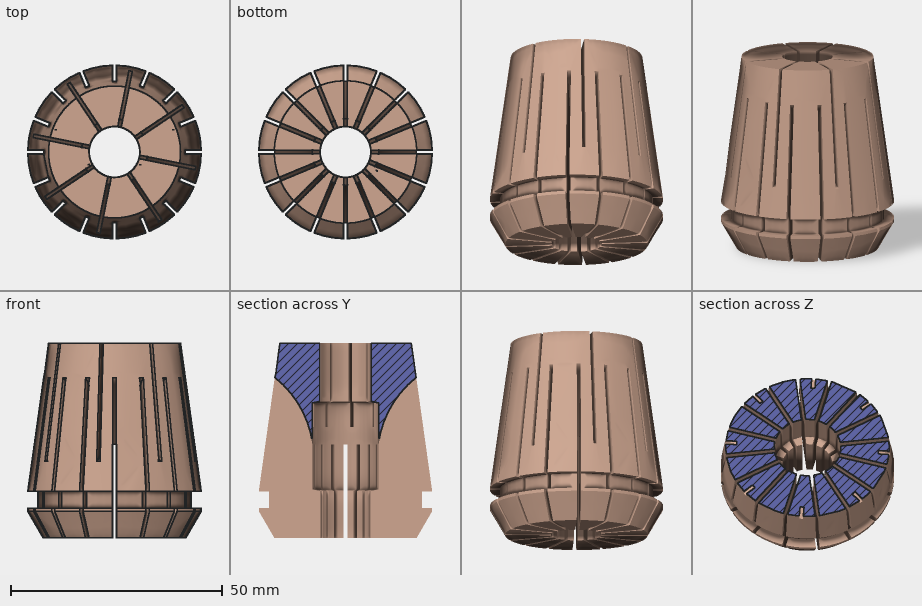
import cadquery as cq
import math

LENGTH = 46.0
MAX_DIAMETER = 41.0
MAX_RADIUS = MAX_DIAMETER / 2
TAIL_RADIUS = 15.6
NOSE_RADIUS = 16.85
GROOVE_RADIUS = 18.12
RIM_BOTTOM = 6.3
GROOVE_BOTTOM = 7.05
GROOVE_TOP = 11.0

BORE_RADIUS = 6.0
RELIEF_RADIUS = 7.8
RELIEF_BOTTOM = 11.05
RELIEF_TOP = 32.2
RELIEF_END_ANGLE = 12.0

NOSE_SLOT_COUNT = 16
NOSE_SLOT_WIDTH = 0.9
NOSE_SLOT_OUTER_END = 37.85
NOSE_SLOT_INNER_END = 22.1
NOSE_SAW_RADIUS = 23.9

TAIL_SLOT_COUNT = 8
TAIL_SLOT_WIDTH = 0.85
TAIL_SLOT_OUTER_END = 18.1
TAIL_SLOT_INNER_END = 26.2
TAIL_SAW_RADIUS = 18.4

OVERCUT = 0.45


def taper_radius(z):
    """Radius of the long outer taper at height z."""
    fraction = (z - GROOVE_TOP) / (LENGTH - GROOVE_TOP)
    return MAX_RADIUS + fraction * (TAIL_RADIUS - MAX_RADIUS)


def make_body():
    """Turned body: short nose cone, rim, groove, long taper and relieved bore."""
    relief_end_rise = (RELIEF_RADIUS - BORE_RADIUS) * math.tan(math.radians(RELIEF_END_ANGLE))
    half_section = [
        (BORE_RADIUS, 0),
        (NOSE_RADIUS, 0),
        (MAX_RADIUS, RIM_BOTTOM),
        (MAX_RADIUS, GROOVE_BOTTOM),
        (GROOVE_RADIUS, GROOVE_BOTTOM),
        (GROOVE_RADIUS, GROOVE_TOP),
        (MAX_RADIUS, GROOVE_TOP),
        (TAIL_RADIUS, LENGTH),
        (BORE_RADIUS, LENGTH),
        (BORE_RADIUS, RELIEF_TOP),
        (RELIEF_RADIUS, RELIEF_TOP - relief_end_rise),
        (RELIEF_RADIUS, RELIEF_BOTTOM + relief_end_rise),
        (BORE_RADIUS, RELIEF_BOTTOM),
    ]
    return cq.Workplane("XZ").polyline(half_section).close().revolve(360, (0, 0, 0), (0, 1, 0))


def make_slot(outer_end, inner_end, open_end, saw_radius, width):
    """Slot along +X, from open_end to a saw-round floor between the outer taper and the relief."""
    outside = MAX_RADIUS + OVERCUT
    return (
        cq.Workplane("XZ")
        .moveTo(0, open_end)
        .lineTo(outside, open_end)
        .lineTo(outside, outer_end)
        .lineTo(taper_radius(outer_end), outer_end)
        .radiusArc((RELIEF_RADIUS, inner_end), saw_radius)
        .lineTo(0, inner_end)
        .close()
        .extrude(width / 2, both=True)
    )


def cut_around(body, slot, count, start_angle):
    """Cut the slot count times, evenly spaced around Z."""
    for index in range(count):
        angle = start_angle + index * 360 / count
        body = body.cut(slot.rotate((0, 0, 0), (0, 0, 1), angle))
    return body


nose_slot = make_slot(
    NOSE_SLOT_OUTER_END, NOSE_SLOT_INNER_END, -OVERCUT, -NOSE_SAW_RADIUS, NOSE_SLOT_WIDTH
)
tail_slot = make_slot(
    TAIL_SLOT_OUTER_END, TAIL_SLOT_INNER_END, LENGTH + OVERCUT, TAIL_SAW_RADIUS, TAIL_SLOT_WIDTH
)
tail_start_angle = -360 / NOSE_SLOT_COUNT / 2

result = make_body()
result = cut_around(result, nose_slot, NOSE_SLOT_COUNT, 0)
result = cut_around(result, tail_slot, TAIL_SLOT_COUNT, tail_start_angle)